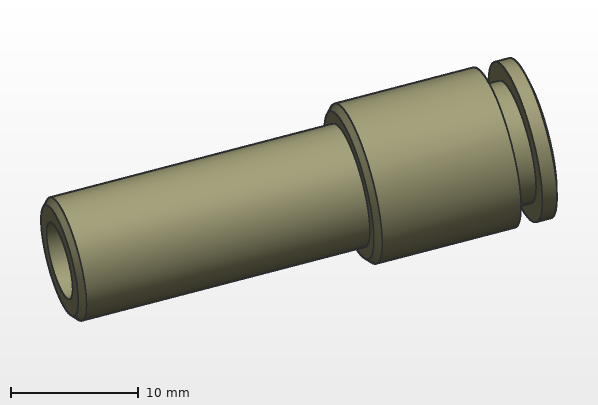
import cadquery as cq

total_length = 39.25
body_diameter = 13.0
tube_diameter = 10.0
bore_diameter = 6.25
tube_length = 24.0
body_length = 12.0
flange_thickness = 1.5
edge_chamfer = 0.5
flange_chamfer_depth = 0.27
flange_chamfer_width = 0.85

neck_length = total_length - tube_length - body_length - flange_thickness
neck_diameter = 9.93


def cylinder(start, length, diameter):
    """Solid cylinder on the Y axis, growing toward +Y from start."""
    base = cq.Workplane("XZ", origin=(0, start, 0))
    return base.circle(diameter / 2).extrude(-length)


tube = cylinder(0, tube_length, tube_diameter).faces("<Y").chamfer(edge_chamfer)
body = cylinder(tube_length, body_length, body_diameter).faces("<Y").chamfer(edge_chamfer)

neck_start = tube_length + body_length
neck = cylinder(neck_start, neck_length, neck_diameter)

flange = cylinder(neck_start + neck_length, flange_thickness, body_diameter)
flange = flange.faces(">Y").edges().chamfer(flange_chamfer_depth, flange_chamfer_width)

bore = cylinder(0, total_length, bore_diameter)

result = tube.union(body).union(neck).union(flange).cut(bore)